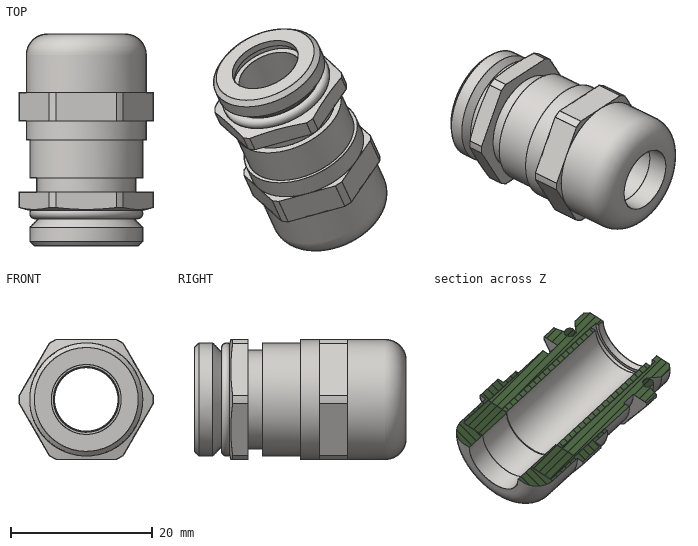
import cadquery as cq
import math


total_length = 30.0
hex_flats = 17.0
hex_corner_radius = 9.5

thread_radius = 8.0
entry_chamfer = 0.65
undercut_start = 2.6
undercut_radius = 6.5

flange_front = 4.98
flange_back = 7.62
flange_chamfer_angle = 15.0
flange_face_radius = 7.8

neck_radius = 7.02
neck_end = 9.63

oring_tube_radius = 0.75
oring_center_y = 4.6
oring_center_radius = thread_radius - oring_tube_radius

cap_radius = hex_flats / 2
cap_start = 15.0
cap_hex_start = 17.7
cap_hex_length = 4.0
cap_hex_end = cap_hex_start + cap_hex_length
dome_radius = 3.0
dome_start = total_length - dome_radius

entry_lip_radius = 4.95
entry_lip_depth = 1.0
housing_bore_radius = 5.45
sleeve_bore_radius = 4.65
sleeve_start = 2.0
cable_opening_radius = 4.5


def turned(profile):
    """Turn a closed (radius, Y) profile about the Y axis."""
    return profile.close().revolve(360, (0, 0, 0), (0, 1, 0))


def cylinder(radius, start, end):
    """Solid cylinder on the Y axis between two Y positions."""
    return cq.Workplane("XZ", origin=(0, start, 0)).circle(radius).extrude(start - end)


def tube(outer_radius, inner_radius, start, end):
    """Hollow cylinder on the Y axis between two Y positions."""
    return cylinder(outer_radius, start, end).cut(cylinder(inner_radius, start, end))


def rounded_hexagon(start, end):
    """Hexagon with flats facing +Z and -Z, its corners turned down to a cylinder."""
    across_corners = hex_flats / math.cos(math.pi / 6)
    hexagon = (
        cq.Workplane("XZ", origin=(0, start, 0))
        .polygon(6, across_corners)
        .extrude(start - end)
    )
    return hexagon.intersect(cylinder(hex_corner_radius, start, end))


def make_oring():
    return (
        cq.Workplane("XY")
        .center(oring_center_radius, oring_center_y)
        .circle(oring_tube_radius)
        .revolve(360, (-oring_center_radius, 0, 0), (-oring_center_radius, 1, 0))
    )


def make_flange():
    """Hexagonal flange with its corners chamfered on the O-ring side."""
    chamfer_drop = (hex_corner_radius - flange_face_radius) * math.tan(math.radians(flange_chamfer_angle))
    chamfer_envelope = turned(
        cq.Workplane("XY")
        .moveTo(0, flange_front)
        .lineTo(flange_face_radius, flange_front)
        .lineTo(hex_corner_radius, flange_front + chamfer_drop)
        .lineTo(hex_corner_radius, flange_back)
        .lineTo(0, flange_back)
    )
    return rounded_hexagon(flange_front, flange_back).intersect(chamfer_envelope)


def make_housing(oring):
    undercut_end = undercut_start + thread_radius - undercut_radius
    body = turned(
        cq.Workplane("XY")
        .moveTo(0, 0)
        .lineTo(thread_radius - entry_chamfer, 0)
        .lineTo(thread_radius, entry_chamfer)
        .lineTo(thread_radius, undercut_start)
        .lineTo(undercut_radius, undercut_end)
        .lineTo(undercut_radius, flange_back)
        .lineTo(neck_radius, flange_back)
        .lineTo(neck_radius, neck_end)
        .lineTo(thread_radius, neck_end)
        .lineTo(thread_radius, cap_hex_end)
        .lineTo(0, cap_hex_end)
    )
    return (
        body.union(make_flange())
        .cut(cylinder(entry_lip_radius, 0, entry_lip_depth))
        .cut(cylinder(housing_bore_radius, entry_lip_depth, cap_hex_end))
        .cut(oring)
    )


def make_cap_nut():
    """Cap nut with a quarter-round dome, a hexagon band and a bore for the housing thread."""
    dome_arc_offset = dome_radius * math.sqrt(0.5)
    shell = turned(
        cq.Workplane("XY")
        .moveTo(0, cap_start)
        .lineTo(cap_radius, cap_start)
        .lineTo(cap_radius, dome_start)
        .threePointArc(
            (cap_radius - dome_radius + dome_arc_offset, dome_start + dome_arc_offset),
            (cap_radius - dome_radius, total_length),
        )
        .lineTo(0, total_length)
    )
    return (
        shell.union(rounded_hexagon(cap_hex_start, cap_hex_end))
        .cut(cylinder(thread_radius, cap_start, dome_start))
        .cut(cylinder(cable_opening_radius, dome_start, total_length))
    )


def make_sleeve():
    """Inner sleeve lining the housing bore behind the entry lip."""
    return tube(housing_bore_radius, sleeve_bore_radius, sleeve_start, cap_hex_end)


def make_seal():
    """Cable seal filling the cap nut between the housing and the dome."""
    return tube(thread_radius, cable_opening_radius, cap_hex_end, dome_start)


oring = make_oring()
housing = make_housing(oring)
cap_nut = make_cap_nut()
sleeve = make_sleeve()
seal = make_seal()

result = cq.Compound.makeCompound(
    [housing.val(), cap_nut.val(), oring.val(), sleeve.val(), seal.val()]
)